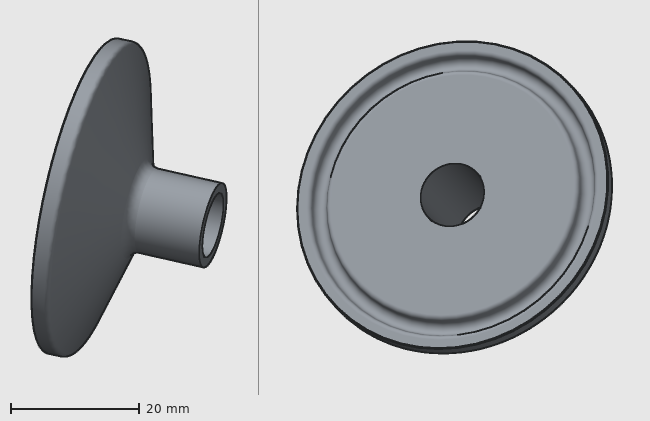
import cadquery as cq
import math

flange_radius = 25.25
length = 21.5
tube_radius = 6.75
bore_radius = 5.15

rim_thickness = 2.85
taper_angle = 20.0
rim_fillet = 0.8
neck_fillet = 1.9
face_chamfer = 0.15

groove_center_radius = 21.7
groove_bottom_radius = 1.15
groove_lip_radius = 0.8
groove_wall_depth = 0.4
groove_wall_angle = 20.0


def revolve_about_x(profile):
    """Turn a closed profile, drawn as (x, radius), fully about the X axis."""
    return profile.revolve(360, (0, 0, 0), (1, 0, 0))


def make_body():
    taper_length = (flange_radius - tube_radius) * math.tan(math.radians(taper_angle))
    neck_x = rim_thickness + taper_length
    body = revolve_about_x(
        cq.Workplane("XY")
        .moveTo(0, bore_radius)
        .lineTo(0, flange_radius)
        .lineTo(rim_thickness, flange_radius)
        .lineTo(neck_x, tube_radius)
        .lineTo(length, tube_radius)
        .lineTo(length, bore_radius)
        .close()
    )

    def circle_at(x, radius):
        tolerance = 0.05
        return cq.selectors.BoxSelector(
            (x - tolerance, -radius - tolerance, -radius - tolerance),
            (x + tolerance, radius + tolerance, radius + tolerance),
            boundingbox=True,
        )

    body = body.edges(circle_at(rim_thickness, flange_radius)).fillet(rim_fillet)
    body = body.edges(circle_at(neck_x, tube_radius)).fillet(neck_fillet)
    return body.faces("<X").edges(cq.selectors.RadiusNthSelector(-1)).chamfer(face_chamfer)


def make_groove():
    wall_angle = math.radians(groove_wall_angle)
    lip_end_x = groove_lip_radius * (1 - math.sin(wall_angle))
    wall_end_x = lip_end_x + groove_wall_depth
    bottom_x = wall_end_x + groove_bottom_radius * (1 - math.sin(wall_angle))
    bottom_half_width = groove_bottom_radius * math.cos(wall_angle)
    lip_half_width = bottom_half_width + groove_wall_depth * math.tan(wall_angle)
    face_half_width = lip_half_width + groove_lip_radius * math.cos(wall_angle)
    middle_angle = (math.pi / 2 - wall_angle) / 2
    lip_middle_x = groove_lip_radius * (1 - math.cos(middle_angle))
    lip_middle_half_width = face_half_width - groove_lip_radius * math.sin(middle_angle)

    inner_lip_end = (lip_end_x, groove_center_radius - lip_half_width)
    inner_lip_middle = (lip_middle_x, groove_center_radius - lip_middle_half_width)
    outer_lip_end = (lip_end_x, groove_center_radius + lip_half_width)
    outer_lip_middle = (lip_middle_x, groove_center_radius + lip_middle_half_width)
    outer_wall_end = (wall_end_x, groove_center_radius + bottom_half_width)
    return revolve_about_x(
        cq.Workplane("XY")
        .moveTo(0, groove_center_radius - face_half_width)
        .threePointArc(inner_lip_middle, inner_lip_end)
        .lineTo(wall_end_x, groove_center_radius - bottom_half_width)
        .threePointArc((bottom_x, groove_center_radius), outer_wall_end)
        .lineTo(*outer_lip_end)
        .threePointArc(outer_lip_middle, (0, groove_center_radius + face_half_width))
        .close()
    )


result = make_body().cut(make_groove())